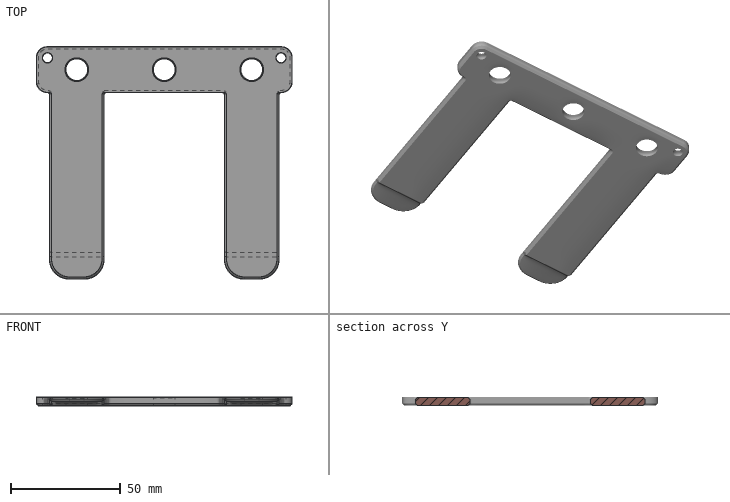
import cadquery as cq

THICKNESS = 4.0
EDGE_CHAMFER = 1.0

BAR_LENGTH = 117.0
BAR_DEPTH = 21.0
BAR_CORNER_RADIUS = 5.1

LEG_SPACING = 80.0
LEG_WIDTH = 25.05
LEG_LENGTH = 85.28
LEG_TIP_RADIUS = 9.15
LEG_ROOT_RADIUS = 0.85

TIP_THICKNESS = 2.0

LARGE_HOLE_DIAMETER = 10.0
LARGE_HOLE_CHAMFER = 0.4
SMALL_HOLE_DIAMETER = 4.5

DOWNWARD_LIMIT = -0.5
ROOT_MARGIN = 0.1

LEG_CENTERS = (-LEG_SPACING / 2, LEG_SPACING / 2)
TIP_UNDERSIDE = THICKNESS - TIP_THICKNESS
TIP_MID_HEIGHT = THICKNESS - EDGE_CHAMFER
RAMP_START_Y = -(LEG_LENGTH - LEG_TIP_RADIUS) + TIP_MID_HEIGHT


def block(x_min, x_max, y_min, y_max, z_min, z_max):
    """Axis-aligned box given by its limits."""
    size = (x_max - x_min, y_max - y_min, z_max - z_min)
    return cq.Workplane("XY").box(*size, centered=False).translate((x_min, y_min, z_min))


def make_leg(center_x, top_chamfered):
    """Full-thickness leg with a rounded free end, overlapping the bar."""
    half_width = LEG_WIDTH / 2
    leg = block(center_x - half_width, center_x + half_width, -LEG_LENGTH, BAR_DEPTH / 2, 0, THICKNESS)
    leg = leg.edges("|Z and <Y").fillet(LEG_TIP_RADIUS)
    if top_chamfered:
        leg = leg.faces(">Z").edges("not >Y").chamfer(EDGE_CHAMFER)
    return leg


def make_sheet(top_chamfered):
    """Bar with both legs, rounded where the leg sides (and their chamfers) meet the bar."""
    bar = block(-BAR_LENGTH / 2, BAR_LENGTH / 2, 0, BAR_DEPTH, 0, THICKNESS)
    sheet = bar.edges("|Z").fillet(BAR_CORNER_RADIUS)
    for center_x in LEG_CENTERS:
        sheet = sheet.union(make_leg(center_x, top_chamfered))
    root_reach = LEG_SPACING / 2 + LEG_WIDTH / 2 + ROOT_MARGIN
    root_zone = cq.selectors.BoxSelector(
        (-root_reach, -ROOT_MARGIN, 0),
        (root_reach, ROOT_MARGIN, THICKNESS),
    )
    return sheet.edges(root_zone).edges("not #Z").fillet(LEG_ROOT_RADIUS)


def thin_tips(sheet):
    """Remove the underside of both leg tips, leaving a 45 degree ramp."""
    beyond_tip = -LEG_LENGTH - EDGE_CHAMFER
    under_tips = (
        cq.Workplane("YZ")
        .moveTo(RAMP_START_Y, 0)
        .lineTo(RAMP_START_Y - TIP_UNDERSIDE, TIP_UNDERSIDE)
        .lineTo(beyond_tip, TIP_UNDERSIDE)
        .lineTo(beyond_tip, 0)
        .close()
        .extrude(BAR_LENGTH / 2, both=True)
    )
    return sheet.cut(under_tips)


def chamfer_underside(sheet):
    """Chamfer the outer edge of the underside, ramps and tips included."""
    lower_faces = [face for face in sheet.faces().vals() if face.normalAt().z < DOWNWARD_LIMIT]
    rim_edges = []
    for face in lower_faces:
        for edge in face.Edges():
            shared = sum(edge.isSame(other) for near in lower_faces for other in near.Edges())
            if shared == 1:
                rim_edges.append(edge)
    return sheet.newObject(rim_edges).chamfer(EDGE_CHAMFER)


def drill_holes(sheet):
    """Three large holes along the bar and a small one in each rear corner."""
    large_places = [(x, BAR_DEPTH / 2) for x in (LEG_CENTERS[0], 0, LEG_CENTERS[1])]
    small_x = BAR_LENGTH / 2 - BAR_CORNER_RADIUS
    small_y = BAR_DEPTH - BAR_CORNER_RADIUS
    small_places = [(-small_x, small_y), (small_x, small_y)]

    large_radius = LARGE_HOLE_DIAMETER / 2
    for x, y in large_places:
        hole = cq.Workplane("XY").center(x, y).circle(large_radius).extrude(THICKNESS)
        countersink = cq.Solid.makeCone(
            large_radius, large_radius + LARGE_HOLE_CHAMFER, LARGE_HOLE_CHAMFER,
            pnt=cq.Vector(x, y, THICKNESS - LARGE_HOLE_CHAMFER),
        )
        sheet = sheet.cut(hole).cut(cq.Workplane(countersink))
    small_holes = (
        cq.Workplane("XY").pushPoints(small_places).circle(SMALL_HOLE_DIAMETER / 2).extrude(THICKNESS)
    )
    return sheet.cut(small_holes)


lower_shape = chamfer_underside(thin_tips(make_sheet(top_chamfered=False)))
upper_shape = make_sheet(top_chamfered=True)
result = drill_holes(upper_shape.intersect(lower_shape))